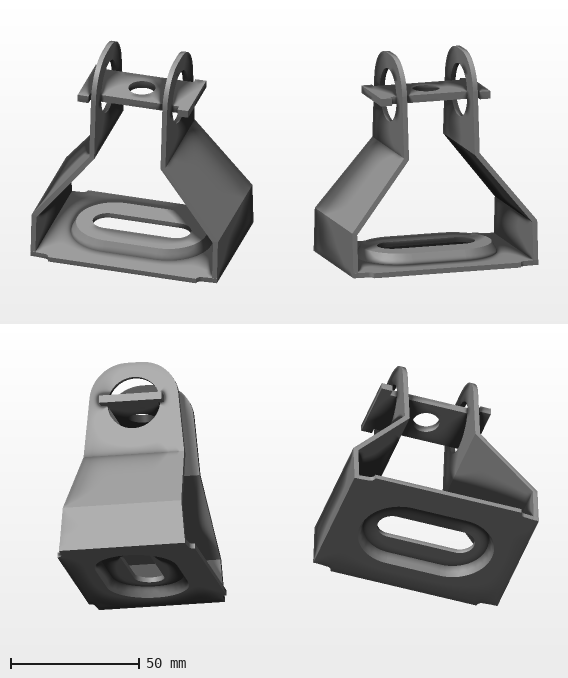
import cadquery as cq
import math

length = 76.0
base_width = 55.0
height = 83.0
sheet = 2.0

half_length = length / 2
arm_outer_x = 15.5
lower_bend_z = 17.6
upper_bend_z = 45.3

foot_half_width = 25.15
lower_bend_half_width = 23.7
upper_bend_half_width = 20.1

top_flat_half = 2.8
top_radius = 14.95
arm_hole_diameter = 21.0
arm_hole_z = 66.5

base_edge_half_length = 30.1
notch_radius = 2.0

platform_height = 6.0
platform_straight = 21.9
platform_bottom_radius = 17.4
platform_top_radius = 15.3
slot_straight = 27.9
slot_radius = 5.9

plate_length = 45.0
plate_width = 25.0
plate_thickness = 3.0
neck_width = 20.0
ear_length = 4.4
plate_hole_diameter = 10.55


def arm_profile():
    """Left folded strip in the XZ plane, with mitred bends of constant thickness."""
    lean = math.atan2(half_length - arm_outer_x, upper_bend_z - lower_bend_z)
    miter_shift = sheet * math.tan(lean / 2)
    return (
        cq.Workplane("XZ")
        .moveTo(-half_length, 0)
        .lineTo(-half_length, lower_bend_z)
        .lineTo(-arm_outer_x, upper_bend_z)
        .lineTo(-arm_outer_x, height)
        .lineTo(-arm_outer_x + sheet, height)
        .lineTo(-arm_outer_x + sheet, upper_bend_z - miter_shift)
        .lineTo(-half_length + sheet, lower_bend_z - miter_shift)
        .lineTo(-half_length + sheet, 0)
        .close()
        .extrude(foot_half_width, both=True)
    )


def arm_outline():
    """Tapered, round-topped arm silhouette in the YZ plane."""
    arc_center_z = height - top_radius
    to_center_y = top_flat_half - upper_bend_half_width
    to_center_z = arc_center_z - upper_bend_z
    center_distance = math.hypot(to_center_y, to_center_z)
    tangent_angle = math.atan2(-to_center_z, -to_center_y) + math.acos(top_radius / center_distance)
    arc_middle_angle = (tangent_angle + math.pi / 2) / 2

    def arc_point(angle, side):
        y = top_flat_half + top_radius * math.cos(angle)
        return (side * y, arc_center_z + top_radius * math.sin(angle))

    return (
        cq.Workplane("YZ")
        .moveTo(-foot_half_width, 0)
        .lineTo(foot_half_width, 0)
        .lineTo(lower_bend_half_width, lower_bend_z)
        .lineTo(upper_bend_half_width, upper_bend_z)
        .lineTo(*arc_point(tangent_angle, 1))
        .threePointArc(arc_point(arc_middle_angle, 1), (top_flat_half, height))
        .lineTo(-top_flat_half, height)
        .threePointArc(arc_point(arc_middle_angle, -1), arc_point(tangent_angle, -1))
        .lineTo(-upper_bend_half_width, upper_bend_z)
        .lineTo(-lower_bend_half_width, lower_bend_z)
        .close()
        .extrude(half_length, both=True)
    )


def make_arm():
    arm_hole = (
        cq.Workplane("YZ")
        .center(0, arm_hole_z)
        .circle(arm_hole_diameter / 2)
        .extrude(half_length, both=True)
    )
    return arm_profile().intersect(arm_outline()).cut(arm_hole)


def corner_notch():
    """Cutter for the corner at +X +Y: a sloped edge ending in a concave arc."""
    edge_y = base_width / 2
    inner_x = half_length - sheet
    arc_end_x = base_edge_half_length + notch_radius
    arc_end_y = edge_y - notch_radius
    arc_reach = notch_radius * math.sqrt(0.5)
    return (
        cq.Workplane("XY")
        .moveTo(base_edge_half_length, edge_y)
        .threePointArc((arc_end_x - arc_reach, edge_y - arc_reach), (arc_end_x, arc_end_y))
        .lineTo(inner_x, foot_half_width)
        .lineTo(half_length, foot_half_width)
        .lineTo(half_length, edge_y)
        .close()
        .extrude(sheet)
    )


def make_base():
    base = cq.Workplane("XY").box(length, base_width, sheet, centered=(True, True, False))
    notch = corner_notch()
    notch_pair = notch.union(notch.mirror("YZ"))
    return base.cut(notch_pair).cut(notch_pair.mirror("XZ"))


def stadium_frustum(bottom_z, lower_radius, upper_radius, rise):
    """Round-ended block along X, tapering from the lower to the upper radius."""
    draft = math.degrees(math.atan2(lower_radius - upper_radius, rise))
    return (
        cq.Workplane("XY", origin=(0, 0, bottom_z))
        .slot2D(platform_straight + 2 * lower_radius, 2 * lower_radius)
        .extrude(rise, taper=draft)
    )


def add_platform(base):
    """Form the raised platform in the base, with a hollow underside and a slot through its top."""
    rise = platform_height - sheet
    slope = math.atan2(rise, platform_bottom_radius - platform_top_radius)
    inset = sheet * math.tan(slope / 2)
    outside = stadium_frustum(sheet, platform_bottom_radius, platform_top_radius, rise)
    hollow = stadium_frustum(0, platform_bottom_radius - inset, platform_top_radius - inset, rise)
    slot = (
        cq.Workplane("XY")
        .slot2D(slot_straight + 2 * slot_radius, 2 * slot_radius)
        .extrude(platform_height)
    )
    return base.union(outside).cut(hollow).cut(slot)


def make_bracket():
    arm = make_arm()
    base = add_platform(make_base())
    return base.union(arm).union(arm.mirror("YZ"))


def make_cross_plate():
    """Flat plate with a narrowed neck through the arm holes and wide ears outside them."""
    plate = cq.Workplane("XY").box(plate_length, neck_width, plate_thickness)
    for side in (-1, 1):
        ear = cq.Workplane("XY").box(ear_length, plate_width, plate_thickness)
        plate = plate.union(ear.translate((side * (plate_length - ear_length) / 2, 0, 0)))
    plate = plate.faces(">Z").workplane(origin=(0, 0, 0)).hole(plate_hole_diameter)
    return plate.translate((0, 0, arm_hole_z))


bracket = make_bracket()
cross_plate = make_cross_plate()
result = cq.Compound.makeCompound([bracket.val(), cross_plate.val()])